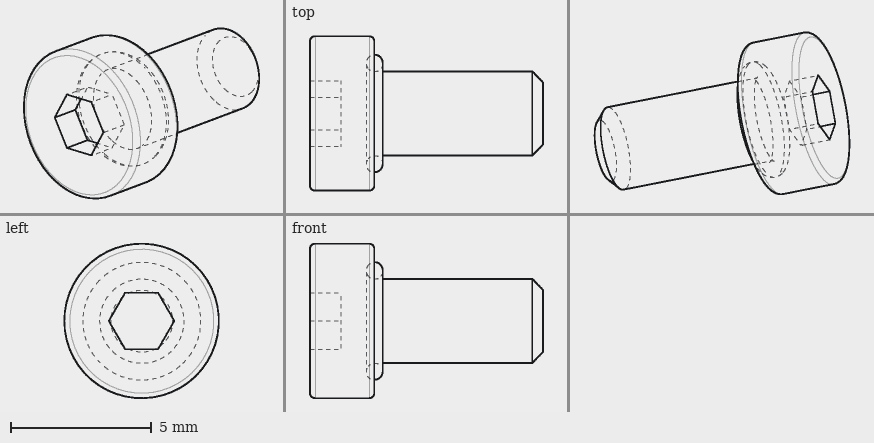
import cadquery as cq
import math

total_length = 8.3
head_diameter = 5.5
head_length = 2.3
head_edge_radius = 0.19
shank_diameter = 3.0
tip_length = 0.38
tip_diameter = 2.2
socket_across_flats = 2.02
socket_depth = 1.095

ring_section_diameter = 0.6

head_radius = head_diameter / 2
shank_radius = shank_diameter / 2
ring_section_radius = ring_section_diameter / 2
ring_center_radius = shank_radius + ring_section_radius


def hex_socket():
    """Hexagonal prism entering the head face, with corners on the Y axis."""
    across_corners = socket_across_flats / math.cos(math.pi / 6)
    return cq.Workplane("YZ").polygon(6, across_corners).extrude(socket_depth)


def make_screw():
    """Turned head and shank with a half-round ring groove and a hex socket."""
    corner = head_edge_radius
    arc_inset = corner * (1 - math.sqrt(0.5))
    groove_outer_radius = ring_center_radius + ring_section_radius
    turned_blank = (
        cq.Workplane("XY")
        .moveTo(0, 0)
        .lineTo(0, head_radius - corner)
        .threePointArc((arc_inset, head_radius - arc_inset), (corner, head_radius))
        .lineTo(head_length - corner, head_radius)
        .threePointArc(
            (head_length - arc_inset, head_radius - arc_inset),
            (head_length, head_radius - corner),
        )
        .lineTo(head_length, groove_outer_radius)
        .threePointArc(
            (head_length - ring_section_radius, ring_center_radius),
            (head_length, shank_radius),
        )
        .lineTo(total_length - tip_length, shank_radius)
        .lineTo(total_length, tip_diameter / 2)
        .lineTo(total_length, 0)
        .close()
        .revolve(360, (0, 0, 0), (1, 0, 0))
    )
    return turned_blank.cut(hex_socket())


def make_sealing_ring():
    """O-ring around the shank, centered on the plane of the head's underside."""
    return (
        cq.Workplane("XY")
        .center(head_length, ring_center_radius)
        .circle(ring_section_radius)
        .revolve(360, (0, -ring_center_radius, 0), (1, -ring_center_radius, 0))
    )


screw = make_screw()
sealing_ring = make_sealing_ring()

result = cq.Compound.makeCompound([screw.solids().val(), sealing_ring.val()])